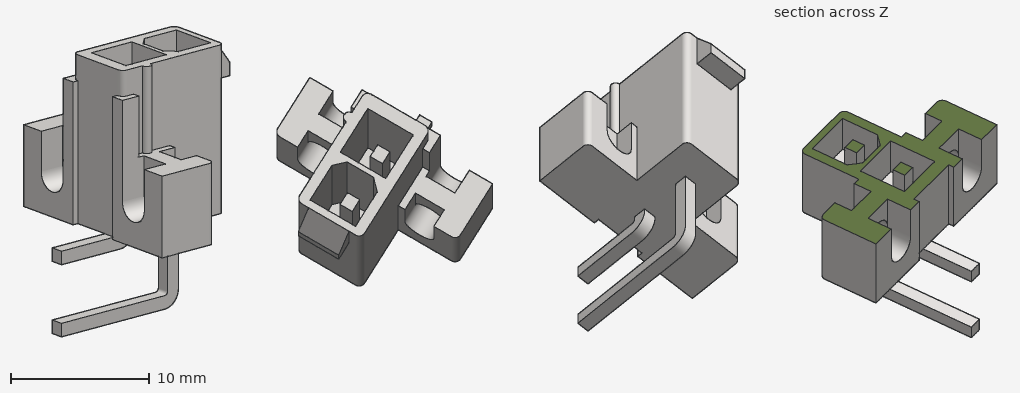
import cadquery as cq
import math


housing_width = 5.47
housing_depth = 9.63
housing_height = 12.82
corner_radius = 0.48

contact_pitch = 4.2
front_contact_y = 2.5
rear_contact_y = front_contact_y + contact_pitch

cavity_size = 3.82
front_cavity_y = 2.97
rear_cavity_y = front_cavity_y + contact_pitch
cavity_floor = 2.79
cavity_chamfer = 0.8

pin_size = 1.03
pin_tip_z = 8.75
pin_inner_radius = 0.3
pin_end_y = -3.85
front_pin_bottom = -1.61
rear_pin_bottom = -7.08

flange_width = 15.4
flange_depth = 4.94
flange_height = 6.2
flange_front = -0.44
flange_back = flange_front + flange_depth
slot_x = 4.52
slot_z = 3.12
slot_radius = 1.21
front_slot_depth = 2.0
rear_slot_depth = 1.45
post_inner_x = 2.19
post_outer_x = slot_x - slot_radius
post_depth = 1.53
post_height = 10.85

latch_width = 3.4
latch_depth = 1.43
latch_bottom = 9.83
latch_nose_top = 10.87
rib_radius = 0.4
rib_y = 2.3


def box(x_min, x_max, y_min, y_max, z_min, z_max):
    """Box between opposite corners."""
    size = (x_max - x_min, y_max - y_min, z_max - z_min)
    return cq.Workplane("XY").box(*size, centered=False).translate((x_min, y_min, z_min))


def make_housing():
    half_width = housing_width / 2
    block = box(-half_width, half_width, 0, housing_depth, 0, housing_height)
    return block.edges("|Z").fillet(corner_radius)


def make_flange():
    """Side ears with a taller post beside the housing on each side."""
    half_width = flange_width / 2
    flange = box(-half_width, half_width, flange_front, flange_back, 0, flange_height)
    flange = flange.edges("|Z and >Y").fillet(corner_radius)
    flange = flange.cut(box(-post_inner_x, post_inner_x, flange_front, 0, 0, flange_height))
    post = box(post_inner_x, post_outer_x, flange_front, flange_front + post_depth, 0, post_height)
    return flange.union(post).union(post.mirror("YZ"))


def slot_cutter(x, y_min, y_max):
    """Round-bottomed slot, open at the top of the flange."""
    depth = y_max - y_min
    round_end = cq.Workplane("XZ", origin=(x, y_max, slot_z)).circle(slot_radius).extrude(depth)
    opening = box(x - slot_radius, x + slot_radius, y_min, y_max, slot_z, flange_height)
    return round_end.union(opening)


def mounting_cutter(x):
    """Slots from the front and rear, joined by a round hole through the web."""
    front = slot_cutter(x, flange_front, flange_front + front_slot_depth)
    rear = slot_cutter(x, flange_back - rear_slot_depth, flange_back)
    hole = cq.Workplane("XZ", origin=(x, flange_back, slot_z)).circle(slot_radius).extrude(flange_depth)
    return front.union(rear).union(hole)


def cavity_cutter(y):
    half = cavity_size / 2
    return box(-half, half, y - half, y + half, cavity_floor, housing_height)


def make_latch():
    profile = [
        (housing_depth - corner_radius, latch_bottom),
        (housing_depth + latch_depth, latch_bottom),
        (housing_depth + latch_depth, latch_nose_top),
        (housing_depth, housing_height),
        (housing_depth - corner_radius, housing_height),
    ]
    return cq.Workplane("YZ").polyline(profile).close().extrude(latch_width / 2, both=True)


def make_pin(y, bottom):
    """Square pin standing in its cavity and bent forward below the housing."""
    back = y + pin_size / 2
    front = y - pin_size / 2
    top = bottom + pin_size
    outer_radius = pin_inner_radius + pin_size
    bend_y = front - pin_inner_radius
    bend_z = top + pin_inner_radius
    diagonal = math.sqrt(0.5)
    outer_mid = (bend_y + outer_radius * diagonal, bend_z - outer_radius * diagonal)
    inner_mid = (bend_y + pin_inner_radius * diagonal, bend_z - pin_inner_radius * diagonal)
    profile = (
        cq.Workplane("YZ")
        .moveTo(front, pin_tip_z)
        .lineTo(back, pin_tip_z)
        .lineTo(back, bend_z)
        .threePointArc(outer_mid, (bend_y, bottom))
        .lineTo(pin_end_y, bottom)
        .lineTo(pin_end_y, top)
        .lineTo(bend_y, top)
        .threePointArc(inner_mid, (front, bend_z))
        .close()
    )
    return profile.extrude(pin_size / 2, both=True)


result = make_flange()
for side in (-1, 1):
    result = result.cut(mounting_cutter(side * slot_x))
result = result.union(make_housing()).union(make_latch())
rib = cq.Workplane("XY").center(housing_width / 2, rib_y).circle(rib_radius).extrude(housing_height)
result = result.union(rib)

result = result.cut(cavity_cutter(front_cavity_y))
result = result.cut(cavity_cutter(rear_cavity_y).edges("|Z and <Y").chamfer(cavity_chamfer))

for contact_y, pin_bottom in ((front_contact_y, front_pin_bottom), (rear_contact_y, rear_pin_bottom)):
    result = result.union(make_pin(contact_y, pin_bottom))